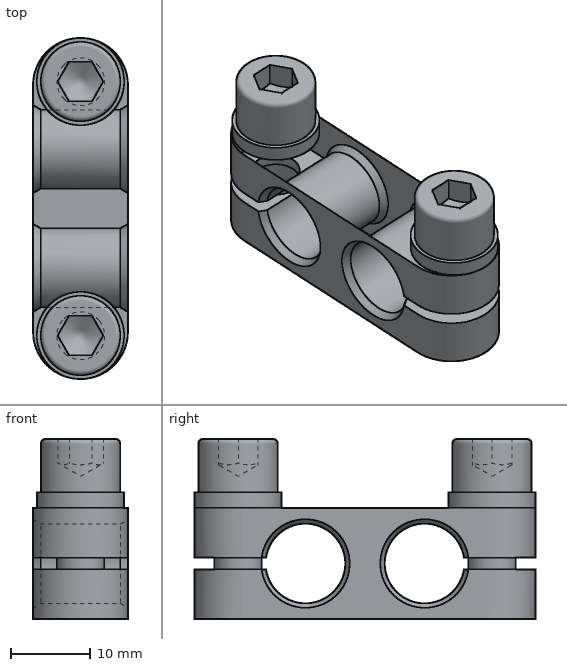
import cadquery as cq
import math

body_length = 43
body_width = 12.0
body_height = 14.0
mid_height = body_height / 2

bore_diameter = 10.0
bore_spacing = 15.0
bore_offset = bore_spacing / 2
chamfer_depth = 1.0
chamfer_angle = 30
slit_height = 1.5

overall_height = 22.7
washer_diameter = 11.0
washer_height = 1.98
shank_diameter = 6
head_diameter = 10.0
head_edge_radius = 0.6
screw_offset = (body_length - washer_diameter) / 2

socket_across_flats = 5.0
socket_depth = 3
socket_floor_angle = 30


def make_body():
    """Bar with ends rounded over its full width."""
    return (
        cq.Workplane("XY")
        .slot2D(body_length, body_width, 90)
        .extrude(body_height)
    )


def make_bore(y):
    """Cutter for a through bore along X, chamfered at both mouths."""
    half_width = body_width / 2
    bore_radius = bore_diameter / 2
    mouth_radius = bore_radius + chamfer_depth * math.tan(math.radians(chamfer_angle))
    profile = (
        cq.Workplane("XY")
        .moveTo(-half_width, 0)
        .lineTo(-half_width, mouth_radius)
        .lineTo(-half_width + chamfer_depth, bore_radius)
        .lineTo(half_width - chamfer_depth, bore_radius)
        .lineTo(half_width, mouth_radius)
        .lineTo(half_width, 0)
        .close()
    )
    bore = profile.revolve(360, (0, 0, 0), (1, 0, 0))
    return bore.translate((0, y, mid_height))


def make_slit(side):
    """Cutter for the slit from a bore axis out through the end of the bar."""
    slit_length = body_length / 2 - bore_offset
    slit_center = side * (bore_offset + slit_length / 2)
    return cq.Workplane("XY").box(body_width, slit_length, slit_height).translate((0, slit_center, mid_height))


def make_socket():
    """Hexagonal cutter ending in a shallow cone, with corners along X."""
    corner_radius = socket_across_flats / math.sqrt(3)
    cone_height = corner_radius * math.tan(math.radians(socket_floor_angle))
    hexagon = (
        cq.Workplane("XY")
        .workplane(offset=overall_height)
        .polygon(6, 2 * corner_radius)
        .extrude(-socket_depth - cone_height)
    )
    floor_height = overall_height - socket_depth
    drill = (
        cq.Workplane("XZ")
        .moveTo(0, floor_height - cone_height)
        .lineTo(corner_radius, floor_height)
        .lineTo(corner_radius, overall_height)
        .lineTo(0, overall_height)
        .close()
        .revolve(360, (0, 0, 0), (0, 1, 0))
    )
    return hexagon.intersect(drill)


def make_screw(y):
    """Washer, socket head and the shank bridging the slit."""
    washer_top = body_height + washer_height
    head = (
        cq.Workplane("XY")
        .workplane(offset=washer_top)
        .circle(head_diameter / 2)
        .extrude(overall_height - washer_top)
        .faces(">Z")
        .edges()
        .fillet(head_edge_radius)
        .cut(make_socket())
    )
    washer = (
        cq.Workplane("XY")
        .workplane(offset=body_height)
        .circle(washer_diameter / 2)
        .extrude(washer_height)
    )
    shank = (
        cq.Workplane("XY")
        .workplane(offset=mid_height - slit_height / 2)
        .circle(shank_diameter / 2)
        .extrude(slit_height)
    )
    return head.union(washer).union(shank).translate((0, y, 0))


result = make_body()
for side in (-1, 1):
    result = result.cut(make_bore(side * bore_offset)).cut(make_slit(side))
for side in (-1, 1):
    result = result.union(make_screw(side * screw_offset))